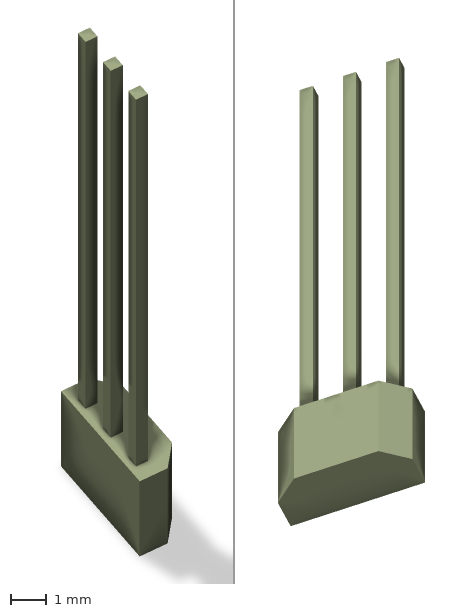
import cadquery as cq

total_height = 18.06
body_width = 4.06
body_depth = 1.55
body_height = 3.07

corner_width = 0.75
corner_depth = 0.63

lead_count = 3
lead_pitch = 1.3
lead_side = 0.4
lead_front_gap = 0.22

lead_length = total_height - body_height


def make_body():
    """Flat-fronted block with both rear vertical edges cut away."""
    half_width = body_width / 2
    shoulder_y = body_depth - corner_depth
    rear_half_width = half_width - corner_width
    return (
        cq.Workplane("XY")
        .moveTo(-half_width, 0)
        .lineTo(half_width, 0)
        .lineTo(half_width, shoulder_y)
        .lineTo(rear_half_width, body_depth)
        .lineTo(-rear_half_width, body_depth)
        .lineTo(-half_width, shoulder_y)
        .close()
        .extrude(body_height)
    )


def add_leads(body):
    """Row of evenly spaced square leads, centred across the width."""
    lead_y = lead_front_gap + lead_side / 2
    return (
        body.faces(">Z")
        .workplane(origin=(0, lead_y, body_height))
        .rarray(lead_pitch, 0.18, lead_count, 1)
        .rect(lead_side, lead_side)
        .extrude(lead_length)
    )


result = add_leads(make_body())